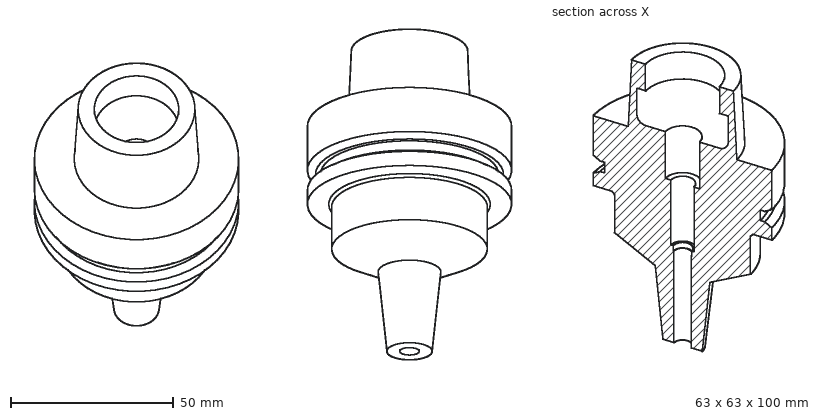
import cadquery as cq

total_length = 100.0
taper_length = 25.0
flange_length = 26.0
flange_top = total_length - taper_length
flange_bottom = flange_top - flange_length

taper_base_radius = 19.2
taper_top_radius = 18.0

flange_radius = 31.5
groove_floor_radius = 27.5
groove_ledge_radius = 29.0
groove_setback = 18.0
groove_center = flange_top - groove_setback
groove_floor_width = 3.7
groove_mouth_width = 6.6

body_radius = 24.0
collar_chamfer = 0.9
body_bottom = 34.0
nose_top = 26.4
nose_top_radius = 9.7
nose_tip_radius = 7.0

mouth_radius = 13.0
mouth_depth = 10.0
cavity_radius = 16.0
cavity_depth = 22.7
cavity_floor_fillet = 3.0
coolant_bore_radius = 6.0
coolant_bore_depth = 40.0
relief_radius = 4.0
relief_depth = 64.0
bore_lead_radius = 3.2
bore_lead_depth = 66.0
tool_bore_radius = 3.0


def revolve_profile(points):
    """Turn a closed outline of (radius, height) points about the Z axis."""
    return cq.Workplane("YZ").polyline(points).close().revolve(360, (0, 0, 0), (0, 1, 0))


def outer_body():
    """Solid of revolution bounded by the outer profile, listed from nose tip to top."""
    floor_half = groove_floor_width / 2
    mouth_half = groove_mouth_width / 2
    profile = [
        (0, 0),
        (nose_tip_radius, 0),
        (nose_top_radius, nose_top),
        (body_radius, body_bottom),
        (body_radius, flange_bottom - collar_chamfer),
        (body_radius + collar_chamfer, flange_bottom),
        (flange_radius, flange_bottom),
        (flange_radius, groove_center - mouth_half),
        (groove_ledge_radius, groove_center - floor_half),
        (groove_floor_radius, groove_center - floor_half),
        (groove_floor_radius, groove_center + floor_half),
        (groove_ledge_radius, groove_center + floor_half),
        (flange_radius, groove_center + mouth_half),
        (flange_radius, flange_top),
        (taper_base_radius, flange_top),
        (taper_top_radius, total_length),
        (0, total_length),
    ]
    return revolve_profile(profile)


def undercut_cavity():
    """Wide chamber below the mouth, with a rounded corner around its floor."""
    floor_height = total_length - cavity_depth
    chamber = cq.Workplane("XY").workplane(offset=floor_height).circle(cavity_radius)
    return chamber.extrude(cavity_depth - mouth_depth).faces("<Z").edges().fillet(cavity_floor_fillet)


def stepped_bore():
    """Solid of revolution for the coaxial bores, listed from the top face to the nose tip."""
    steps = [
        (mouth_radius, 0),
        (mouth_radius, mouth_depth),
        (coolant_bore_radius, mouth_depth),
        (coolant_bore_radius, coolant_bore_depth),
        (relief_radius, coolant_bore_depth),
        (relief_radius, relief_depth),
        (bore_lead_radius, relief_depth),
        (bore_lead_radius, bore_lead_depth),
        (tool_bore_radius, bore_lead_depth),
        (tool_bore_radius, total_length),
    ]
    wall = [(radius, total_length - depth) for radius, depth in steps]
    return revolve_profile([(0, total_length)] + wall + [(0, 0)])


result = outer_body().cut(stepped_bore()).cut(undercut_cavity())